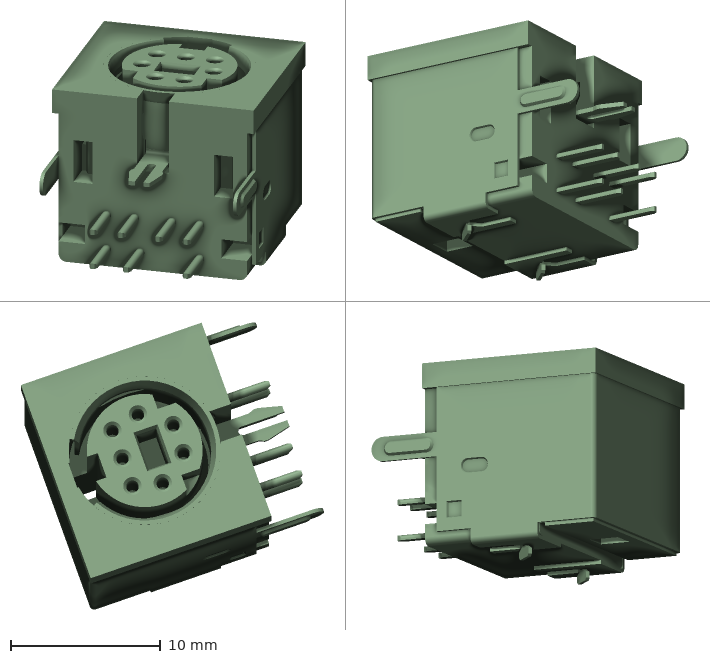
import cadquery as cq
import math

SHIELD_SHEET = 0.25
RING_SHEET = 0.3

CAP_WIDTH = 14.0
CAP_HEIGHT = 1.7
BODY_WIDTH = 13.08
BLOCK_SHIFT = -0.025
FRONT_Y = -6.49
BACK_Y = 6.3
BOTTOM_Z = -12.3
BOTTOM_EDGE_RADIUS = 0.51
REAR_BOTTOM_Z = -11.72
GROOVE_TOP_Z = -11.5
GROOVE_BACK_Y = 2.35

BORE_DEPTH = 5.18
LIP_RADIUS = 5.08
LIP_HEIGHT = 0.9
GROOVE_RADIUS = 5.48
GROOVE_TOP = 1.66
GROOVE_BOTTOM = 2.65
GROOVE_RUNOUT = 3.49
RING_RADIUS = 4.75
RING_DEPTH = 4.85
RING_GAP_ANGLE = 57.0
ISLAND_RADIUS = 3.87
COLLAR_RADIUS = 4.25
COLLAR_TOP = 3.98
COLLAR_BACK_Y = 1.8
NOTCH_DEPTH = 2.0
NOTCH_X = 2.39
NOTCH_Y = -1.76
KEY_WIDTH = 1.76
KEY_FRONT_Y = 3.02
KEY_BACK_Y = 5.1

SOCKET_RADIUS = 0.42
SOCKET_RIM_RADIUS = 0.61
SOCKET_DEPTH = 3.32
SOCKET_CENTRES = [(-2.01, 1.58), (0, 1.58), (2.01, 1.58), (-2.49, -0.4), (2.49, -0.4), (-1.01, -2.39), (1.01, -2.39)]
POST_WIDTH = 2.8
POST_LENGTH = 1.71
POST_CENTRE_Y = -0.55
POST_RIM = 0.15
POST_RIM_DEPTH = 0.4

SLOT_WIDTH = 2.2
WINDOW_INNER_X = 4.22
WINDOW_OUTER_X = 5.55
WINDOW_TOP_Z = -3.49
WINDOW_BOTTOM_Z = -6.49
WINDOW_STEP_Z = -4.6
WINDOW_DEPTH = 1.66
WINDOW_STRIP = 0.27
WINDOW_STRIP_DEPTH = 2.15
WINDOW_UPPER_DEPTH = 2.65
POCKET_INNER_X = 4.73
POCKET_TOP_Z = -9.51
POCKET_BOTTOM_Z = -10.87
POCKET_DEPTH = 2.85

TAIL_WIDTH = 1.96
TAIL_BARB_WIDTH = 2.27
TAIL_TIP_WIDTH = 1.46
TAIL_NECK_Y = -7.72
TAIL_BARB_START_Y = -8.1
TAIL_BARB_END_Y = -8.38
TAIL_END_Y = -10.0
TAIL_SLOT_WIDTH = 0.6
TAIL_SLOT_START_Y = -6.64
TAIL_BEND = 0.25
TAIL_RELIEF_WIDTH = 0.13
TAIL_RELIEF_TOP_Z = -3.69
SPRING_RADIUS = 4.28
SPRING_TOP_Z = -1.33
SPRING_BOTTOM_Z = -3.98
SPRING_START = 156.0
SPRING_END = 199.0

PIN_WIDTH = 0.58
PIN_HEIGHT = 0.38
PIN_ROUND = 0.27
PIN_END_Y = -10.0
PIN_SEAT = 1.66
PIN_TIP_LENGTH = 0.3
PIN_TIP_WIDTH = 0.27
UPPER_PIN_Z = -8.72
LOWER_PIN_Z = -11.15
UPPER_PIN_X = [-3.24, -1.3, 1.3, 3.24]
LOWER_PIN_X = [-3.24, -0.91, 3.24]

SHIELD_HALF_WIDTH = 6.84
SHIELD_BACK_Y = 6.2
SHIELD_FRONT_Y = -5.51
SHIELD_BOTTOM_Z = -11.5
SHIELD_CORNER_RADIUS = 0.33
FLANGE_FRONT_Y = -2.99
FLANGE_BACK_Y = 1.96
FLANGE_INNER_X = 3.12
FLANGE_BEND_RADIUS = 0.42
LEG_TOP_Z = -4.73
LEG_WIDTH = 1.66
LEG_END_Y = -10.3
BEAD_RISE = 0.18
BEAD_LENGTH = 3.65
BEAD_WIDTH = 1.0
BEAD_CENTRE_Y = -7.55
BEAD_SLOPE = 0.15
DIMPLE_DEPTH = 0.13
DIMPLE_SLOPE = 0.08
OVAL_LENGTH = 2.0
OVAL_WIDTH = 1.0
OVAL_CENTRE = (-2.7, -7.2)
LATCH_SIZE = 1.13
LATCH_CENTRE = (-4.2, -10.08)

LUG_X = 4.55
LUG_TWIST = 45.0
LUG_NECK_HALF = 0.37
LUG_HEAD_HALF = 0.9
LUG_NECK_END_Z = -12.6
LUG_HEAD_TOP_Z = -12.83
LUG_BOTTOM_Z = -13.4
LUG_CORNER = 0.17
LUG_NOTCH_HALF = 0.75

BODY_BACK_Y = SHIELD_BACK_Y - SHIELD_SHEET
SHIELD_INNER_X = SHIELD_HALF_WIDTH - SHIELD_SHEET
RING_INNER_RADIUS = RING_RADIUS - RING_SHEET


def box(x0, x1, y0, y1, z0, z1):
    """Block between two opposite corners."""
    return cq.Workplane("XY").box(x1 - x0, y1 - y0, z1 - z0, centered=False).translate((x0, y0, z0))


def spin(points):
    """Solid of revolution about Z from an outline of (radius, z) points."""
    return cq.Workplane("XZ").polyline(points).close().revolve(360, (0, 0, 0), (0, 1, 0))


def both_sides(shape):
    """The shape together with its mirror image across X = 0."""
    return shape.union(shape.mirror("YZ"))


def make_pin(x, z):
    """Pin seated in the housing front, rounded on top, with its tip narrowed from both sides."""
    half = PIN_WIDTH / 2
    half_tip = PIN_TIP_WIDTH / 2
    seat_y = FRONT_Y + PIN_SEAT
    bar = box(-half, half, PIN_END_Y, seat_y, 0, PIN_HEIGHT).edges("|Y and >Z").fillet(PIN_ROUND)
    plan = [
        (-half, seat_y),
        (half, seat_y),
        (half, PIN_END_Y + PIN_TIP_LENGTH),
        (half_tip, PIN_END_Y),
        (-half_tip, PIN_END_Y),
        (-half, PIN_END_Y + PIN_TIP_LENGTH),
    ]
    envelope = cq.Workplane("XY").polyline(plan).close().extrude(PIN_HEIGHT)
    return bar.intersect(envelope).translate((x, 0, z))


pins = [make_pin(x, UPPER_PIN_Z) for x in UPPER_PIN_X]
pins += [make_pin(x, LOWER_PIN_Z) for x in LOWER_PIN_X]


def housing_block():
    """Cap and body with the stepped underside."""
    cap_half = CAP_WIDTH / 2
    body_half = BODY_WIDTH / 2
    cap = box(-cap_half, cap_half, FRONT_Y, BACK_Y, -CAP_HEIGHT, 0)
    body = box(-body_half, body_half, FRONT_Y, BODY_BACK_Y, BOTTOM_Z, -CAP_HEIGHT)
    body = body.edges("|Y and <Z").fillet(BOTTOM_EDGE_RADIUS)
    rear_relief = box(-cap_half, cap_half, FLANGE_BACK_Y, BACK_Y, BOTTOM_Z, REAR_BOTTOM_Z)
    groove = box(-cap_half, cap_half, FLANGE_BACK_Y, GROOVE_BACK_Y, BOTTOM_Z, GROOVE_TOP_Z)
    return cap.union(body.cut(rear_relief).cut(groove)).translate((BLOCK_SHIFT, 0, 0))


def bore():
    """Round bore with a clearance groove around its front half, tapering out downward."""
    hole = cq.Workplane("XY").circle(LIP_RADIUS).extrude(-BORE_DEPTH)
    groove = spin([
        (0, -GROOVE_TOP),
        (GROOVE_RADIUS, -GROOVE_TOP),
        (GROOVE_RADIUS, -GROOVE_BOTTOM),
        (LIP_RADIUS, -GROOVE_RUNOUT),
        (0, -GROOVE_RUNOUT),
    ])
    front_half = box(-GROOVE_RADIUS, GROOVE_RADIUS, -GROOVE_RADIUS, 0, -GROOVE_RUNOUT, -GROOVE_TOP)
    return hole.union(groove.intersect(front_half))


def ring_gap():
    """Wedge pointing toward +Y that spans the opening of the ring."""
    reach = 2 * LIP_RADIUS
    spread = reach * math.tan(math.radians(RING_GAP_ANGLE / 2))
    return (
        cq.Workplane("XY").polyline([(0, 0), (spread, reach), (-spread, reach)]).close().extrude(-BORE_DEPTH)
    )


def island():
    """Contact carrier standing in the bore."""
    post = cq.Workplane("XY").circle(ISLAND_RADIUS).extrude(-BORE_DEPTH)
    notch = box(NOTCH_X, ISLAND_RADIUS, -ISLAND_RADIUS, NOTCH_Y, -NOTCH_DEPTH, 0)
    collar = spin([
        (0, -COLLAR_TOP), (ISLAND_RADIUS, -COLLAR_TOP), (COLLAR_RADIUS, -BORE_DEPTH), (0, -BORE_DEPTH),
    ])
    collar_limit = box(-COLLAR_RADIUS, COLLAR_RADIUS, -COLLAR_RADIUS, COLLAR_BACK_Y, -BORE_DEPTH, 0)
    return post.cut(both_sides(notch)).union(collar.intersect(collar_limit))


def socket_hole():
    """Contact hole with a countersunk rim."""
    rim = SOCKET_RIM_RADIUS - SOCKET_RADIUS
    return spin([
        (0, 0),
        (SOCKET_RIM_RADIUS, 0),
        (SOCKET_RADIUS, -rim),
        (SOCKET_RADIUS, -SOCKET_DEPTH),
        (0, -SOCKET_DEPTH),
    ])


def post_hole():
    """Central rectangular hole with a bevelled rim."""
    centre = cq.Workplane("XY").center(0, POST_CENTRE_Y)
    shaft = centre.rect(POST_WIDTH - 2 * POST_RIM, POST_LENGTH - 2 * POST_RIM).extrude(-SOCKET_DEPTH)
    taper = math.degrees(math.atan(POST_RIM / POST_RIM_DEPTH))
    rim = centre.rect(POST_WIDTH, POST_LENGTH).extrude(-POST_RIM_DEPTH, taper=taper)
    return shaft.union(rim)


def front_windows():
    """Pair of stepped pockets in the front face, deeper toward the sides."""
    strip_x = WINDOW_OUTER_X - WINDOW_STRIP
    floor_y = FRONT_Y + WINDOW_DEPTH
    strip_y = FRONT_Y + WINDOW_STRIP_DEPTH
    outline = [
        (WINDOW_INNER_X, FRONT_Y),
        (WINDOW_OUTER_X, FRONT_Y),
        (WINDOW_OUTER_X, strip_y),
        (strip_x, strip_y),
        (strip_x - WINDOW_STRIP, floor_y),
        (WINDOW_INNER_X, floor_y),
    ]
    lower = cq.Workplane("XY", origin=(0, 0, WINDOW_BOTTOM_Z)).polyline(outline).close()
    lower = lower.extrude(WINDOW_TOP_Z - WINDOW_BOTTOM_Z)
    upper_y = FRONT_Y + WINDOW_UPPER_DEPTH
    upper = box(strip_x, WINDOW_OUTER_X, FRONT_Y, upper_y, WINDOW_STEP_Z, WINDOW_TOP_Z)
    return both_sides(lower.union(upper))


def corner_pockets():
    """Pair of pockets open to the front and to the sides."""
    pocket = box(
        POCKET_INNER_X, SHIELD_INNER_X, FRONT_Y, FRONT_Y + POCKET_DEPTH, POCKET_BOTTOM_Z, POCKET_TOP_Z
    )
    return both_sides(pocket)


def front_slot():
    """Slot from the front face into the bore, for the ring tail."""
    slot = box(-SLOT_WIDTH / 2, SLOT_WIDTH / 2, FRONT_Y, -COLLAR_RADIUS, -BORE_DEPTH, 0)
    return slot.translate((BLOCK_SHIFT, 0, 0))


def make_housing():
    block = housing_block().cut(bore()).cut(front_slot()).union(island())
    key = box(-KEY_WIDTH / 2, KEY_WIDTH / 2, KEY_FRONT_Y, KEY_BACK_Y, BOTTOM_Z, 0)
    block = block.cut(key).cut(post_hole()).cut(front_windows()).cut(corner_pockets())
    for x, y in SOCKET_CENTRES:
        block = block.cut(socket_hole().translate((x, y, 0)))
    for pin in pins:
        block = block.cut(pin)
    return block


def ring_tail():
    """Forked solder tail, bent forward from the lower edge of the ring."""
    root_y = -(RING_RADIUS + RING_INNER_RADIUS) / 2
    half_plan = [
        (TAIL_WIDTH / 2, root_y),
        (TAIL_WIDTH / 2, TAIL_NECK_Y),
        (TAIL_BARB_WIDTH / 2, TAIL_BARB_START_Y),
        (TAIL_BARB_WIDTH / 2, TAIL_BARB_END_Y),
        (TAIL_TIP_WIDTH / 2, TAIL_END_Y),
    ]
    plan = half_plan + [(-x, y) for x, y in reversed(half_plan)]
    plate = cq.Workplane("XY", origin=(0, 0, -RING_DEPTH)).polyline(plan).close().extrude(RING_SHEET)
    slot_radius = TAIL_SLOT_WIDTH / 2
    slot = (
        cq.Workplane("XY", origin=(0, 0, -RING_DEPTH))
        .moveTo(slot_radius, TAIL_END_Y)
        .lineTo(slot_radius, TAIL_SLOT_START_Y - slot_radius)
        .threePointArc((0, TAIL_SLOT_START_Y), (-slot_radius, TAIL_SLOT_START_Y - slot_radius))
        .lineTo(-slot_radius, TAIL_END_Y)
        .close()
        .extrude(RING_SHEET)
    )
    return plate.cut(slot).union(tail_bend(root_y))


def tail_bend(root_y):
    """Concave fillet between the ring wall and the tail."""
    top_z = RING_SHEET - RING_DEPTH
    bend_y = -RING_RADIUS - TAIL_BEND
    turn = TAIL_BEND * (1 - math.sqrt(0.5))
    return (
        cq.Workplane("YZ", origin=(-TAIL_WIDTH / 2, 0, 0))
        .moveTo(root_y, top_z)
        .lineTo(bend_y, top_z)
        .threePointArc((-RING_RADIUS - turn, top_z + turn), (-RING_RADIUS, top_z + TAIL_BEND))
        .lineTo(root_y, top_z + TAIL_BEND)
        .close()
        .extrude(TAIL_WIDTH)
    )


def side_springs():
    """Pair of inward spring pads on the flanks of the ring."""
    def at(radius, degrees):
        angle = math.radians(degrees)
        return (radius * math.cos(angle), radius * math.sin(angle))

    middle = (SPRING_START + SPRING_END) / 2
    outer = (RING_RADIUS + RING_INNER_RADIUS) / 2
    pad = (
        cq.Workplane("XY", origin=(0, 0, SPRING_BOTTOM_Z))
        .moveTo(*at(outer, SPRING_START))
        .lineTo(*at(RING_INNER_RADIUS, SPRING_START))
        .threePointArc(at(SPRING_RADIUS, middle), at(RING_INNER_RADIUS, SPRING_END))
        .lineTo(*at(outer, SPRING_END))
        .threePointArc(at(outer, middle), at(outer, SPRING_START))
        .close()
        .extrude(SPRING_TOP_Z - SPRING_BOTTOM_Z)
    )
    return both_sides(pad)


def make_ring():
    """Open sheet ring with a flared lip, side springs and a solder tail."""
    ring = spin([
        (LIP_RADIUS - RING_SHEET, 0),
        (LIP_RADIUS, 0),
        (RING_RADIUS, -LIP_HEIGHT),
        (RING_RADIUS, -RING_DEPTH),
        (RING_INNER_RADIUS, -RING_DEPTH),
        (RING_INNER_RADIUS, -LIP_HEIGHT),
    ])
    relief_x = TAIL_WIDTH / 2
    relief = box(
        relief_x, relief_x + TAIL_RELIEF_WIDTH, -LIP_RADIUS, -ISLAND_RADIUS, -RING_DEPTH, TAIL_RELIEF_TOP_Z
    )
    return ring.cut(ring_gap()).cut(both_sides(relief)).union(side_springs()).union(ring_tail())


def shield_wrap():
    """Wall around the back and both sides, with rounded rear corners."""
    half = SHIELD_HALF_WIDTH
    outer = box(-half, half, SHIELD_FRONT_Y, SHIELD_BACK_Y, SHIELD_BOTTOM_Z, -CAP_HEIGHT)
    outer = outer.edges("|Z and >Y").fillet(SHIELD_CORNER_RADIUS)
    inner = box(
        -SHIELD_INNER_X, SHIELD_INNER_X, SHIELD_FRONT_Y, BODY_BACK_Y, SHIELD_BOTTOM_Z, -CAP_HEIGHT
    )
    return outer.cut(inner)


def shield_flanges():
    """Side skirts bent under the body, notched in front of the lugs."""
    half = SHIELD_HALF_WIDTH
    bottom = BOTTOM_Z - SHIELD_SHEET
    outer = box(-half, half, FLANGE_FRONT_Y, FLANGE_BACK_Y, bottom, SHIELD_BOTTOM_Z)
    outer = outer.edges("|Y and <Z").fillet(FLANGE_BEND_RADIUS)
    inner = box(
        -SHIELD_INNER_X, SHIELD_INNER_X, FLANGE_FRONT_Y, FLANGE_BACK_Y, BOTTOM_Z, SHIELD_BOTTOM_Z
    )
    inner = inner.edges("|Y and <Z").fillet(FLANGE_BEND_RADIUS - SHIELD_SHEET)
    middle = box(-FLANGE_INNER_X, FLANGE_INNER_X, FLANGE_FRONT_Y, FLANGE_BACK_Y, bottom, BOTTOM_Z)
    notch = (
        cq.Workplane("XY", origin=(0, 0, bottom))
        .polyline([
            (LUG_X - LUG_NOTCH_HALF, FLANGE_FRONT_Y),
            (LUG_X + LUG_NOTCH_HALF, FLANGE_FRONT_Y),
            (LUG_X + LUG_NOTCH_HALF, -LUG_NOTCH_HALF),
            (LUG_X, 0),
            (LUG_X - LUG_NOTCH_HALF, -LUG_NOTCH_HALF),
        ])
        .close()
        .extrude(SHIELD_SHEET)
    )
    return outer.cut(inner).cut(middle).cut(both_sides(notch))


def lug():
    """Flat locking lug, twisted about its vertical axis."""
    half_outline = [
        (LUG_NECK_HALF, BOTTOM_Z),
        (LUG_NECK_HALF, LUG_NECK_END_Z),
        (LUG_HEAD_HALF, LUG_HEAD_TOP_Z),
        (LUG_HEAD_HALF, LUG_BOTTOM_Z + LUG_CORNER),
        (LUG_HEAD_HALF - LUG_CORNER, LUG_BOTTOM_Z),
    ]
    outline = half_outline + [(-x, z) for x, z in reversed(half_outline)]
    plate = cq.Workplane("XZ").polyline(outline).close().extrude(SHIELD_SHEET / 2, both=True)
    return plate.rotate((0, 0, 0), (0, 0, 1), LUG_TWIST)


def shield_legs():
    """Round-ended solder legs reaching forward, each with a raised bead."""
    radius = LEG_WIDTH / 2
    centre_z = LEG_TOP_Z - radius
    leg = (
        cq.Workplane("YZ", origin=(SHIELD_INNER_X, 0, 0))
        .moveTo(SHIELD_FRONT_Y, LEG_TOP_Z)
        .lineTo(LEG_END_Y + radius, LEG_TOP_Z)
        .threePointArc((LEG_END_Y, centre_z), (LEG_END_Y + radius, LEG_TOP_Z - LEG_WIDTH))
        .lineTo(SHIELD_FRONT_Y, LEG_TOP_Z - LEG_WIDTH)
        .close()
        .extrude(SHIELD_SHEET)
    )
    bead_taper = math.degrees(math.atan(BEAD_SLOPE / BEAD_RISE))
    bead = (
        cq.Workplane("YZ", origin=(SHIELD_HALF_WIDTH, 0, 0))
        .center(BEAD_CENTRE_Y, centre_z)
        .slot2D(BEAD_LENGTH, BEAD_WIDTH)
        .extrude(BEAD_RISE, taper=bead_taper)
    )
    return both_sides(leg.union(bead))


def side_dimples():
    """Shallow oval and square recesses in the outside of both side walls."""
    taper = math.degrees(math.atan(DIMPLE_SLOPE / DIMPLE_DEPTH))
    face = cq.Workplane("YZ", origin=(SHIELD_HALF_WIDTH, 0, 0))
    oval = face.center(*OVAL_CENTRE).slot2D(OVAL_LENGTH, OVAL_WIDTH).extrude(-DIMPLE_DEPTH, taper=taper)
    square = face.center(*LATCH_CENTRE).rect(LATCH_SIZE, LATCH_SIZE).extrude(-DIMPLE_DEPTH, taper=taper)
    return both_sides(oval.union(square))


def make_shield():
    shell = shield_wrap().union(shield_flanges()).union(shield_legs()).cut(side_dimples())
    for x in (-LUG_X, LUG_X):
        shell = shell.union(lug().translate((x, 0, 0)))
    return shell


housing = make_housing()
ring = make_ring()
shield = make_shield()

bodies = [housing, ring, shield] + pins
result = cq.Compound.makeCompound([body.solids().val() for body in bodies])